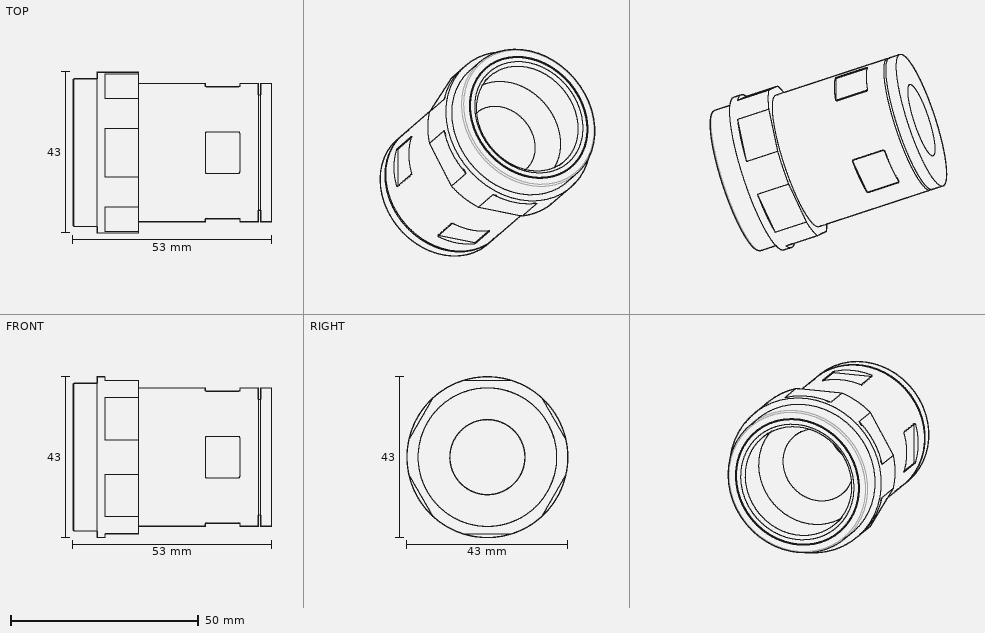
import cadquery as cq

LENGTH = 53.0

SPIGOT_DIAMETER = 39.5
SPIGOT_EDGE_RADIUS = 0.4
COLLAR_DIAMETER = 43.0
COLLAR_START = 6.4
COLLAR_END = 17.5
BODY_DIAMETER = 37.0
GROOVE_DIAMETER = 30.9
GROOVE_START = 49.45
GROOVE_WIDTH = 0.6

LEAD_IN_DIAMETER = 32.05
LEAD_IN_DEPTH = 0.95
WIDE_BORE_DIAMETER = 30.15
WIDE_BORE_DEPTH = 11.7
NARROW_BORE_DIAMETER = 20.0
NARROW_BORE_START = 16.8

FACE_RING_OUTER_DIAMETER = 35.05
FACE_RING_INNER_DIAMETER = 34.6
FACE_RING_DEPTH = 0.2

COLLAR_FLAT_COUNT = 6
COLLAR_FLAT_START = 8.55
COLLAR_ACROSS_FLATS = 40.95

POCKET_COUNT = 4
POCKET_START = 35.3
POCKET_LENGTH = 9.15
POCKET_WIDTH = 11.1
POCKET_FLOOR_RADIUS = 17.35
POCKET_CORNER_RADIUS = 0.35


def cylinder(diameter, start, end):
    """Solid cylinder on the X axis between two stations."""
    return cq.Workplane("YZ", origin=(start, 0, 0)).circle(diameter / 2).extrude(end - start)


def outer_body():
    spigot = cylinder(SPIGOT_DIAMETER, 0, COLLAR_START).faces("<X").edges().fillet(SPIGOT_EDGE_RADIUS)
    collar = cylinder(COLLAR_DIAMETER, COLLAR_START, COLLAR_END)
    body = cylinder(BODY_DIAMETER, COLLAR_END, LENGTH)
    return spigot.union(collar).union(body)


def bore():
    """Stepped and tapered bore, revolved about the X axis."""
    return (
        cq.Workplane("XZ")
        .lineTo(0, LEAD_IN_DIAMETER / 2)
        .lineTo(LEAD_IN_DEPTH, WIDE_BORE_DIAMETER / 2)
        .lineTo(WIDE_BORE_DEPTH, WIDE_BORE_DIAMETER / 2)
        .lineTo(NARROW_BORE_START, NARROW_BORE_DIAMETER / 2)
        .lineTo(LENGTH, NARROW_BORE_DIAMETER / 2)
        .lineTo(LENGTH, 0)
        .close()
        .revolve(360, (0, 0, 0), (1, 0, 0))
    )


def ring(outer_diameter, inner_diameter, start, width):
    return (
        cq.Workplane("YZ", origin=(start, 0, 0))
        .circle(outer_diameter / 2)
        .circle(inner_diameter / 2)
        .extrude(width)
    )


def collar_flats():
    """Material outside the hexagon, with one flat facing +Z."""
    flat_length = COLLAR_END - COLLAR_FLAT_START
    blank = cylinder(COLLAR_DIAMETER, COLLAR_FLAT_START, COLLAR_END)
    for index in range(COLLAR_FLAT_COUNT):
        slab = (
            cq.Workplane("XY", origin=(COLLAR_FLAT_START, 0, COLLAR_ACROSS_FLATS / 2))
            .box(flat_length, COLLAR_DIAMETER, COLLAR_DIAMETER, centered=(False, True, False))
            .rotate((0, 0, 0), (1, 0, 0), index * 360 / COLLAR_FLAT_COUNT)
        )
        yield slab.intersect(blank)


def pockets():
    for index in range(POCKET_COUNT):
        yield (
            cq.Workplane("XY", origin=(POCKET_START + POCKET_LENGTH / 2, 0, POCKET_FLOOR_RADIUS))
            .rect(POCKET_LENGTH, POCKET_WIDTH)
            .extrude(BODY_DIAMETER / 2 - POCKET_FLOOR_RADIUS)
            .edges("|Z")
            .fillet(POCKET_CORNER_RADIUS)
            .rotate((0, 0, 0), (1, 0, 0), index * 360 / POCKET_COUNT)
        )


result = outer_body().cut(bore())
result = result.cut(ring(BODY_DIAMETER, GROOVE_DIAMETER, GROOVE_START, GROOVE_WIDTH))
result = result.cut(ring(FACE_RING_OUTER_DIAMETER, FACE_RING_INNER_DIAMETER, 0, FACE_RING_DEPTH))
for flat in collar_flats():
    result = result.cut(flat)
for pocket in pockets():
    result = result.cut(pocket)